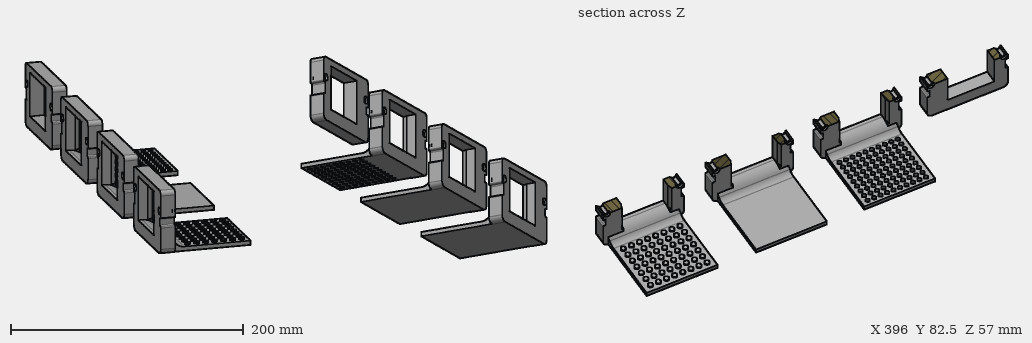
import cadquery as cq
import math

frame_width = 79.2
frame_height = 57.0
frame_depth = 13.0
top_corner_radius = 4.0
bottom_corner_radius = 5.0
overall_width = 396

perforated_x = 104.0
blank_x = 210.0
pegged_x = overall_width - frame_width

window_left = 13.5
window_width = 45.5
window_bottom = 12.0
window_height = 39.2
window_flare = 1.5
window_flare_depth = 4.5

notch_depth = 2.8
notch_fillet = 1.0
left_notch_bottom = 23.5
left_notch_height = 10.5
right_notch_bottom = 25.5
right_notch_height = 7.0
selection_margin = 0.5

screw_inset = 4.0
screw_z = 38.5
screw_diameter = 3.5
countersink_diameter = 6.5
countersink_depth = (countersink_diameter - screw_diameter) / 2
counterbore_diameter = 6.5
counterbore_depth = 2.5

shelf_width = 69.5
shelf_end_y = 82.5
shelf_thickness = 4.0

pattern_center_y = 52.0
hole_diameter = 4.0
hole_pitch = 6.5
hole_columns = 10
hole_rows = 9
peg_diameter = 4.8
peg_column_pitch = 8.0
peg_row_span = 48.7
peg_columns = 8
peg_rows = 7
peg_row_pitch = peg_row_span / (peg_rows - 1)
peg_height = 1.0

bend_angle = math.radians(45)
foot_radius = 10.0
foot_y = 22.5
radius_sum = (window_bottom - shelf_thickness) / (1 - math.cos(bend_angle))
crest_radius = radius_sum - foot_radius
crest_y = foot_y - radius_sum * math.sin(bend_angle)


def crest_point(angle):
    """(y, z) on the convex arc, at an angle from the sill."""
    return crest_y + crest_radius * math.sin(angle), window_bottom - crest_radius * (1 - math.cos(angle))


def foot_point(angle):
    """(y, z) on the concave arc, at an angle from the shelf."""
    return foot_y - foot_radius * math.sin(angle), shelf_thickness + foot_radius * (1 - math.cos(angle))


def s_curve(profile):
    """Continue a (y, z) profile from the crest on the sill down to the foot on the shelf."""
    profile = profile.threePointArc(crest_point(bend_angle / 2), crest_point(bend_angle))
    return profile.threePointArc(foot_point(bend_angle / 2), foot_point(0))


def cut_notch(frame, x_left, bottom, height):
    """Cut a notch through the frame depth and round its edges."""
    notch = cq.Workplane("XY").box(notch_depth, frame_depth, height, centered=False)
    frame = frame.cut(notch.translate((x_left, 0, bottom)))
    around_notch = cq.selectors.BoxSelector(
        (x_left - selection_margin, -selection_margin, bottom - selection_margin),
        (x_left + notch_depth + selection_margin, frame_depth + selection_margin, bottom + height + selection_margin),
    )
    return frame.edges("|Y").edges(around_notch).fillet(notch_fillet)


def y_cylinder(x, diameter, start_y, length):
    """Cylinder along Y at the height of the screws."""
    return cq.Workplane("XZ", origin=(x, start_y, screw_z)).circle(diameter / 2).extrude(-length)


def countersink(x):
    """45 degree cone opening on the front face."""
    center = cq.Vector(x, 0, screw_z)
    toward_back = cq.Vector(0, 1, 0)
    cone = cq.Solid.makeCone(
        countersink_diameter / 2, screw_diameter / 2, countersink_depth, center, toward_back)
    return cq.Workplane(cone)


def make_frame():
    """Plain frame with window, edge notches and two screw holes."""
    frame = cq.Workplane("XY").box(frame_width, frame_depth, frame_height, centered=False)
    frame = frame.edges("|Y and >Z").fillet(top_corner_radius)
    frame = frame.edges("|Y and <Z").fillet(bottom_corner_radius)
    window = cq.Workplane("XY").box(window_width, frame_depth, window_height, centered=False)
    frame = frame.cut(window.translate((window_left, 0, window_bottom)))
    frame = cut_notch(frame, 0, left_notch_bottom, left_notch_height)
    frame = cut_notch(frame, frame_width - notch_depth, right_notch_bottom, right_notch_height)
    counterbore_y = frame_depth - counterbore_depth
    for x in (screw_inset, frame_width - screw_inset):
        frame = frame.cut(y_cylinder(x, screw_diameter, 0, frame_depth))
        frame = frame.cut(countersink(x))
        frame = frame.cut(y_cylinder(x, counterbore_diameter, counterbore_y, counterbore_depth))
    return frame


def sill_cutter():
    """Material removed above the S-curve across the window sill."""
    profile = s_curve(cq.Workplane("YZ").moveTo(crest_y, window_bottom))
    profile = profile.lineTo(foot_y, window_bottom).close()
    return profile.extrude(window_width).translate((window_left, 0, 0))


def flare_cutter():
    """Wedge that widens the window sides toward the back."""
    window_right = window_left + window_width
    flare_start_y = frame_depth - window_flare_depth
    return (
        cq.Workplane("XY", origin=(0, 0, window_bottom))
        .moveTo(window_left, flare_start_y)
        .lineTo(window_right, flare_start_y)
        .lineTo(window_right + window_flare, frame_depth)
        .lineTo(window_left - window_flare, frame_depth)
        .close()
        .extrude(window_height)
    )


def make_shelf():
    """Shelf with the S-curve at its root, starting at the back of the frame."""
    profile = s_curve(cq.Workplane("YZ").moveTo(crest_y, 0).lineTo(crest_y, window_bottom))
    profile = profile.lineTo(shelf_end_y, shelf_thickness).lineTo(shelf_end_y, 0).close()
    shelf = profile.extrude(shelf_width)
    behind_frame = cq.Workplane("XY").box(shelf_width, shelf_end_y, frame_height, centered=False)
    shelf = shelf.intersect(behind_frame.translate((0, frame_depth, 0)))
    return shelf.translate(((frame_width - shelf_width) / 2, 0, 0))


def make_shelf_frame():
    """Frame and shelf as one solid."""
    return make_frame().cut(sill_cutter()).cut(flare_cutter()).union(make_shelf())


def hole_grid():
    """Cutters for the holes through the shelf."""
    grid = cq.Workplane("XY", origin=(frame_width / 2, pattern_center_y, 0))
    grid = grid.rarray(hole_pitch, hole_pitch, hole_columns, hole_rows)
    return grid.circle(hole_diameter / 2).extrude(shelf_thickness)


def peg_grid():
    """Low round pegs standing on the shelf."""
    grid = cq.Workplane("XY", origin=(frame_width / 2, pattern_center_y, shelf_thickness))
    grid = grid.rarray(peg_column_pitch, peg_row_pitch, peg_columns, peg_rows)
    return grid.circle(peg_diameter / 2).extrude(peg_height)


plain = make_frame()
blank = make_shelf_frame()
perforated = blank.cut(hole_grid())
pegged = blank.union(peg_grid())

result = cq.Compound.makeCompound([
    plain.val(),
    perforated.translate((perforated_x, 0, 0)).val(),
    blank.translate((blank_x, 0, 0)).val(),
    pegged.translate((pegged_x, 0, 0)).val(),
])